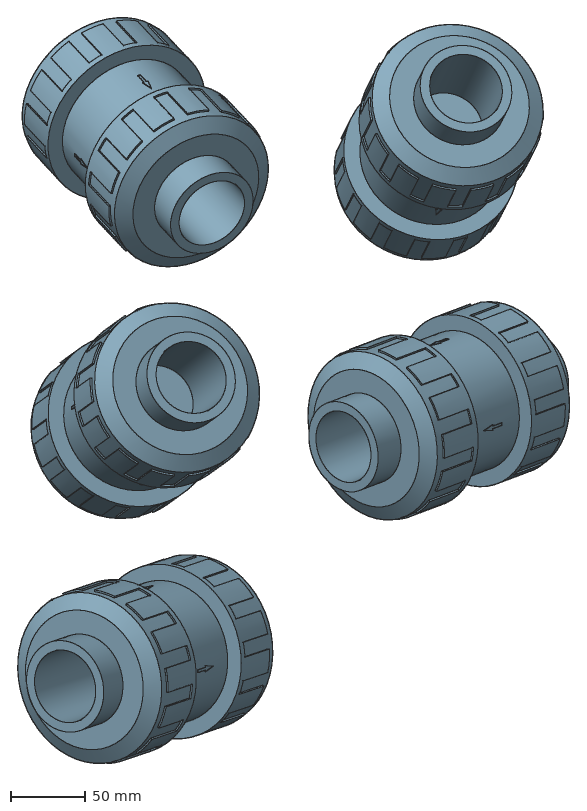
import cadquery as cq
length = 192.0
spigot_radius = 31.5
bore_radius = 25.0
body_radius = 49.0

nut_radius = 60.0
nut_inner_x = 26.9
nut_outer_x = 73.0
bevel_length = 6.3
bevel_end_radius = 48.0
collar_radius = 58.8
collar_length = 5.8

slot_count = 14
slot_angle = 9.8
slot_end_x = 31.5
slot_clearance = 2.0

arrow_count = 4
arrow_height = 0.4
arrow_root = 2.0
arrow_half_length = 9.0
shaft_half_width = 1.0
head_half_width = 2.1

half_length = length / 2
bevel_start_x = nut_outer_x - bevel_length
grip_start_x = bevel_start_x - collar_length
band_root_radius = (body_radius + collar_radius) / 2
bore_depth = half_length - nut_inner_x


def cylinder_along_x(radius, start_x, end_x):
    return cq.Workplane("YZ", origin=(start_x, 0, 0)).circle(radius).extrude(end_x - start_x)


def repeat_around_x(feature, count):
    """Evenly spaced copies of one solid around the pipe axis."""
    solid = feature.solids().val()
    copies = [solid.rotate((0, 0, 0), (1, 0, 0), index * 360 / count) for index in range(count)]
    return cq.Workplane(cq.Compound.makeCompound(copies))


def turned_body():
    """Body, bevelled nut ends and spigots as one revolved outline, without the slotted nut bands."""
    right_side = [
        (nut_inner_x, body_radius),
        (nut_inner_x, collar_radius),
        (bevel_start_x, collar_radius),
        (nut_outer_x, bevel_end_radius),
        (nut_outer_x, spigot_radius),
        (half_length, spigot_radius),
        (half_length, 0),
    ]
    left_side = [(-x, radius) for x, radius in reversed(right_side)]
    outline = cq.Workplane("XZ").polyline(left_side + right_side).close()
    return outline.revolve(360, (0, 0, 0), (1, 0, 0))


def left_nut_band():
    """Nut band with slots open towards the pipe end; the first has one wall at the top (+Z)."""
    band = cylinder_along_x(nut_radius, -grip_start_x, -nut_inner_x)
    band = band.cut(cylinder_along_x(band_root_radius, -grip_start_x, -nut_inner_x))
    slot = (
        cq.Workplane("XZ")
        .moveTo(-grip_start_x - slot_clearance, band_root_radius - slot_clearance)
        .lineTo(-slot_end_x, band_root_radius - slot_clearance)
        .lineTo(-slot_end_x, nut_radius + slot_clearance)
        .lineTo(-grip_start_x - slot_clearance, nut_radius + slot_clearance)
        .close()
        .revolve(slot_angle, (0, 0, 0), (-1, 0, 0))
    )
    return band.cut(repeat_around_x(slot, slot_count))


def flow_arrows():
    """Arrows pointing along +X, with tops that follow the round body."""
    upper_edge = [
        (-arrow_half_length, shaft_half_width),
        (0, shaft_half_width),
        (0, head_half_width),
    ]
    lower_edge = [(x, -y) for x, y in reversed(upper_edge)]
    outline = upper_edge + [(arrow_half_length, 0)] + lower_edge
    envelope = cylinder_along_x(body_radius + arrow_height, -nut_inner_x, nut_inner_x)
    root_height = body_radius - arrow_root
    arrow = (
        cq.Workplane("XY", origin=(0, 0, root_height))
        .polyline(outline)
        .close()
        .extrude(nut_radius - root_height)
        .intersect(envelope)
    )
    return repeat_around_x(arrow, arrow_count)


left_band = left_nut_band()
right_band = left_band.rotate((0, 0, 0), (0, 0, 1), 180)
left_bore = cylinder_along_x(bore_radius, -half_length, -half_length + bore_depth)
right_bore = cylinder_along_x(bore_radius, half_length - bore_depth, half_length)

result = (
    turned_body()
    .cut(left_bore)
    .cut(right_bore)
    .union(flow_arrows())
    .union(left_band)
    .union(right_band)
)